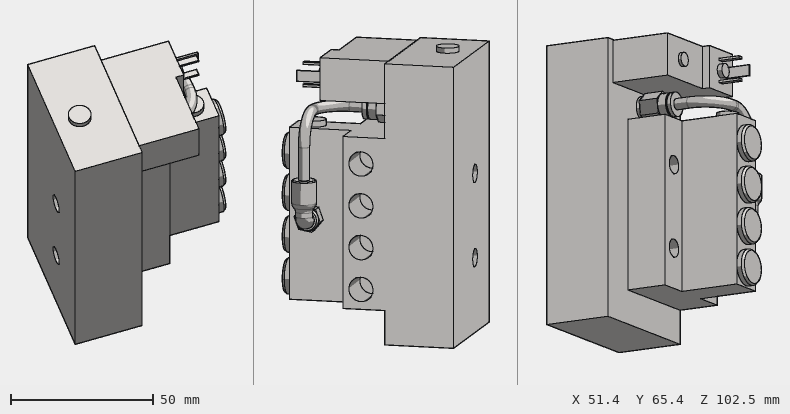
import cadquery as cq
import math

X_DIR = cq.Vector(1, 0, 0)
Y_DIR = cq.Vector(0, 1, 0)
Z_DIR = cq.Vector(0, 0, 1)

TOTAL_WIDTH = 51.4
TOTAL_HEIGHT = 102.5
TOTAL_DEPTH = 65.4

BASE_WIDTH = 50.0
BASE_DEPTH = 25.0
BASE_HEIGHT = 100.7
TOP_PLUG_DIAMETER = 8.0
TOP_PLUG_HEIGHT = TOTAL_HEIGHT - BASE_HEIGHT
TOP_PLUG_X = 28.2
TOP_PLUG_Y = 9.4

MOUNT_DIAMETER = 6.5
MOUNT_X = 30.0
MOUNT_Z = (26.9, 57.0)

VALVE_X = 18.1
VALVE_WIDTH = 13.0
VALVE_LEFT = VALVE_X - VALVE_WIDTH / 2
VALVE_BACK = 62.6
MANIFOLD_WIDTH = 2 * VALVE_X
MANIFOLD_BACK = 40.2
VALVE_BOTTOM = 12.3
VALVE_TOP = 73.9
PORT_DIAMETER = 8.7
PORT_DEPTH = 15.4
PORT_Y = 33.6
STATION_COUNT = 4
STATION_PITCH = 15.0
FIRST_STATION_Z = 19.5
STATION_Z = [FIRST_STATION_Z + STATION_PITCH * i for i in range(STATION_COUNT)]

CAP_DIAMETER = 13.0
CAP_HEIGHT = TOTAL_DEPTH - VALVE_BACK
CAP_CHAMFER_HEIGHT = 0.9
CAP_CHAMFER_WIDTH = 0.6

TUBE_DIAMETER = 4.0
TUBE_BEND_RADIUS = 10.9
TUBE_START_X = 26.0
TUBE_Y = 55.0
TUBE_Z = 79.7
VALVE_PLUG_DIAMETER = 8.0
VALVE_PLUG_HEIGHT = 2.2

FITTING_DIAMETER = 8.7
FITTING_HEX_CORNERS = 10.5
FITTING_HEX_TURN = 10
FITTING_FOOT = 1.4
FITTING_HEX = 7.3
FITTING_SLEEVE = 3.2
FITTING_GROOVE = 0.4
FITTING_GROOVE_DIAMETER = 8.0
FITTING_COLLAR = 1.6

ELBOW_Z = 42.1
ELBOW_DIAMETER = 6.0
ELBOW_BEND_RADIUS = 1.7
NECK_TOP = 3.5
NECK_FLARE_DIAMETER = 7.5
NECK_FLARE_TOP = 5.0
SLEEVE_DIAMETER = 8.7
TUBE_DROP_X = SLEEVE_DIAMETER / 2 - (TOTAL_WIDTH - BASE_WIDTH)
SLEEVE_BOTTOM = 6.7
SLEEVE_TOP = 15.0
SLEEVE_CHAMFER = 0.4
SHOULDER_RADIUS = 2.7
COLLAR_START = 2.8
COLLAR_END_DIAMETER = 8.4
NUT_START = 4.2
NUT_CORNERS = 9.6
NUT_TURN = -20

COIL_LEFT = 6.6
COIL_STEP_X = 22.4
COIL_RIGHT = 46.6
COIL_BACK = 50.2
COIL_STEP_BACK = 47.4
COIL_BOTTOM = 85.1
COIL_TOP = 100.3
COIL_BUTTON_DIAMETER = 5.0
COIL_BUTTON_X = 36.7
COIL_BUTTON_HEIGHT = 1.1

CONNECTOR_X = 14.7
CONNECTOR_Z = 92.7
CONNECTOR_DIAMETER = 5.0
CONNECTOR_HEIGHT = 1.9
PIN_WIDTH = 2.3
PIN_THICKNESS = 0.8
PIN_LENGTH = 8.0
PIN_OFFSET = 4.0
BLADE_X = 10.8
BLADE_THICKNESS = 0.8
BLADE_HEIGHT = 3.9
BLADE_LENGTH = 9.4


def box(x_range, y_range, z_range):
    """Box between two limits along each axis."""
    low, high = zip(x_range, y_range, z_range)
    size = [b - a for a, b in zip(low, high)]
    return cq.Workplane(cq.Solid.makeBox(*size, pnt=cq.Vector(*low)))


def centered(middle, size):
    """Limits of a size centred on a middle value."""
    return (middle - size / 2, middle + size / 2)


def cylinder(diameter, start, direction, length):
    """Cylinder that starts at a point and runs along a direction."""
    return cq.Workplane(cq.Solid.makeCylinder(diameter / 2, length, cq.Vector(*start), direction))


def cone(start_diameter, end_diameter, start, direction, length):
    """Tapered cylinder that starts at a point and runs along a direction."""
    solid = cq.Solid.makeCone(start_diameter / 2, end_diameter / 2, length, cq.Vector(*start), direction)
    return cq.Workplane(solid)


def hexagon(corners, start, direction, length, turn):
    """Hexagonal prism with one corner turned away from the vertical by an angle."""
    side = direction.cross(Z_DIR)
    plane = cq.Plane(origin=tuple(start), xDir=side, normal=direction).rotated((0, 0, 90 + turn))
    return cq.Workplane(plane).polygon(6, corners).extrude(length)


def make_base():
    base = box((0, BASE_WIDTH), (0, BASE_DEPTH), (0, BASE_HEIGHT))
    plug = cylinder(TOP_PLUG_DIAMETER, (TOP_PLUG_X, TOP_PLUG_Y, BASE_HEIGHT), Z_DIR, TOP_PLUG_HEIGHT)
    return base.union(plug)


def make_valves():
    heights = (VALVE_BOTTOM, VALVE_TOP)
    valves = box((0, MANIFOLD_WIDTH), (BASE_DEPTH, MANIFOLD_BACK), heights)
    valves = valves.union(box(centered(VALVE_X, VALVE_WIDTH), (MANIFOLD_BACK, VALVE_BACK), heights))
    straight = CAP_HEIGHT - CAP_CHAMFER_HEIGHT
    cap_end = CAP_DIAMETER - 2 * CAP_CHAMFER_WIDTH
    for z in STATION_Z:
        valves = valves.cut(cylinder(PORT_DIAMETER, (0, PORT_Y, z), X_DIR, PORT_DEPTH))
        valves = valves.union(cylinder(CAP_DIAMETER, (VALVE_X, VALVE_BACK, z), Y_DIR, straight))
        rim = (VALVE_X, VALVE_BACK + straight, z)
        valves = valves.union(cone(CAP_DIAMETER, cap_end, rim, Y_DIR, CAP_CHAMFER_HEIGHT))
    plug = cylinder(VALVE_PLUG_DIAMETER, (VALVE_X, TUBE_Y, VALVE_TOP), Z_DIR, VALVE_PLUG_HEIGHT)
    return valves.union(plug)


def make_coil():
    heights = (COIL_BOTTOM, COIL_TOP)
    coil = box((COIL_LEFT, COIL_STEP_X), (BASE_DEPTH, COIL_BACK), heights)
    coil = coil.union(box((COIL_STEP_X, COIL_RIGHT), (BASE_DEPTH, COIL_STEP_BACK), heights))
    button_start = (COIL_BUTTON_X, COIL_STEP_BACK, CONNECTOR_Z)
    coil = coil.union(cylinder(COIL_BUTTON_DIAMETER, button_start, Y_DIR, COIL_BUTTON_HEIGHT))
    boss_start = (CONNECTOR_X, COIL_BACK, CONNECTOR_Z)
    coil = coil.union(cylinder(CONNECTOR_DIAMETER, boss_start, Y_DIR, CONNECTOR_HEIGHT))
    for side in (-1, 1):
        pin_z = centered(CONNECTOR_Z + side * PIN_OFFSET, PIN_THICKNESS)
        pin_y = (COIL_BACK, COIL_BACK + PIN_LENGTH)
        coil = coil.union(box(centered(CONNECTOR_X, PIN_WIDTH), pin_y, pin_z))
    blade_y = (COIL_BACK, COIL_BACK + BLADE_LENGTH)
    blade_z = centered(CONNECTOR_Z, BLADE_HEIGHT)
    return coil.union(box(centered(BLADE_X, BLADE_THICKNESS), blade_y, blade_z))


def make_straight_fitting():
    def start(y):
        return (TUBE_START_X, y, TUBE_Z)

    hex_y = BASE_DEPTH + FITTING_FOOT
    sleeve_y = hex_y + FITTING_HEX
    groove_y = sleeve_y + FITTING_SLEEVE
    collar_y = groove_y + FITTING_GROOVE
    fitting = cylinder(FITTING_DIAMETER, start(BASE_DEPTH), Y_DIR, groove_y - BASE_DEPTH)
    nut = hexagon(FITTING_HEX_CORNERS, start(hex_y), Y_DIR, FITTING_HEX, FITTING_HEX_TURN)
    fitting = fitting.union(nut)
    fitting = fitting.union(cylinder(FITTING_GROOVE_DIAMETER, start(groove_y), Y_DIR, FITTING_GROOVE))
    return fitting.union(cylinder(FITTING_DIAMETER, start(collar_y), Y_DIR, FITTING_COLLAR))


def make_tube():
    """Tube that runs back, bends to the left, then bends down into the elbow."""
    radius = TUBE_BEND_RADIUS
    diagonal = radius * math.sin(math.radians(45))
    first_x = TUBE_START_X - radius
    first_y = TUBE_Y - radius
    second_x = TUBE_DROP_X + radius
    second_z = TUBE_Z - radius

    start = cq.Vector(TUBE_START_X, BASE_DEPTH, TUBE_Z)
    first_in = cq.Vector(TUBE_START_X, first_y, TUBE_Z)
    first_middle = cq.Vector(first_x + diagonal, first_y + diagonal, TUBE_Z)
    first_out = cq.Vector(first_x, TUBE_Y, TUBE_Z)
    second_in = cq.Vector(second_x, TUBE_Y, TUBE_Z)
    second_middle = cq.Vector(second_x - diagonal, TUBE_Y, second_z + diagonal)
    second_out = cq.Vector(TUBE_DROP_X, TUBE_Y, second_z)
    end = cq.Vector(TUBE_DROP_X, TUBE_Y, ELBOW_Z + SLEEVE_BOTTOM)

    path = cq.Wire.assembleEdges([
        cq.Edge.makeLine(start, first_in),
        cq.Edge.makeThreePointArc(first_in, first_middle, first_out),
        cq.Edge.makeLine(first_out, second_in),
        cq.Edge.makeThreePointArc(second_in, second_middle, second_out),
        cq.Edge.makeLine(second_out, end),
    ])
    profile = cq.Workplane("XZ", origin=start.toTuple()).circle(TUBE_DIAMETER / 2)
    return profile.sweep(cq.Workplane(path))


def make_elbow_sleeve():
    """Round upright part of the elbow: neck, flare, rounded shoulder and chamfered sleeve."""
    neck = ELBOW_DIAMETER / 2
    flare = NECK_FLARE_DIAMETER / 2
    sleeve = SLEEVE_DIAMETER / 2
    return (
        cq.Workplane("XZ", origin=(TUBE_DROP_X, TUBE_Y, ELBOW_Z))
        .moveTo(0, ELBOW_BEND_RADIUS)
        .lineTo(neck, ELBOW_BEND_RADIUS)
        .lineTo(neck, NECK_TOP)
        .tangentArcPoint((flare, NECK_FLARE_TOP), relative=False)
        .radiusArc((sleeve, SLEEVE_BOTTOM), -SHOULDER_RADIUS)
        .lineTo(sleeve, SLEEVE_TOP - SLEEVE_CHAMFER)
        .lineTo(sleeve - SLEEVE_CHAMFER, SLEEVE_TOP)
        .lineTo(0, SLEEVE_TOP)
        .close()
        .revolve(360, (0, 0, 0), (0, 1, 0))
    )


def make_elbow_bend():
    """Quarter bend whose tight radius leaves a sharp inner corner."""
    radius = ELBOW_DIAMETER / 2
    bend = ELBOW_BEND_RADIUS
    half_chord = math.sqrt(radius**2 - bend**2)
    return (
        cq.Workplane("XY", origin=(TUBE_DROP_X, TUBE_Y, ELBOW_Z + bend))
        .moveTo(bend, -half_chord)
        .threePointArc((-radius, 0), (bend, half_chord))
        .close()
        .revolve(90, (bend, 0, 0), (bend, -1, 0))
    )


def make_elbow():
    """Elbow that turns from the sleeve to a collar and nut on the side of the valve block."""
    def start(offset):
        return (TUBE_DROP_X + offset, TUBE_Y, ELBOW_Z)

    valve_offset = VALVE_LEFT - TUBE_DROP_X
    stub_length = valve_offset - ELBOW_BEND_RADIUS
    collar_length = NUT_START - COLLAR_START
    nut_length = valve_offset - NUT_START
    elbow = make_elbow_sleeve().union(make_elbow_bend())
    elbow = elbow.union(cylinder(ELBOW_DIAMETER, start(ELBOW_BEND_RADIUS), X_DIR, stub_length))
    collar = cone(NECK_FLARE_DIAMETER, COLLAR_END_DIAMETER, start(COLLAR_START), X_DIR, collar_length)
    nut = hexagon(NUT_CORNERS, start(NUT_START), X_DIR, nut_length, NUT_TURN)
    return elbow.union(collar).union(nut)


result = make_base().union(make_valves()).union(make_coil())
result = result.union(make_straight_fitting()).union(make_tube()).union(make_elbow())
for mount_z in MOUNT_Z:
    result = result.cut(cylinder(MOUNT_DIAMETER, (MOUNT_X, 0, mount_z), Y_DIR, VALVE_BACK))